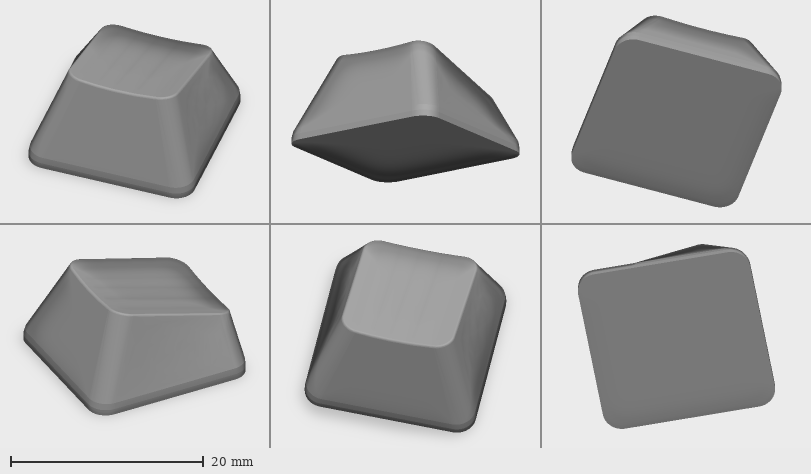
import cadquery as cq
import math

base_size = 18.16
base_corner_radius = 2.02
skirt_height = 0.65

shoulder_top_height = 1.3
shoulder_side_inset = 0.1
shoulder_front_inset = 0.15
shoulder_back_inset = 0.02

top_width = 11.82
top_corner_radius = 1.9
top_front_y = -5.0
top_back_y = 8.66
top_front_height = 10.06
top_back_height = 6.08
top_edge_radius = 0.25

dish_depth = 0.58
dish_radius = 39.95

top_rise = top_front_height - top_back_height
top_run = top_back_y - top_front_y
top_length = math.hypot(top_rise, top_run)
top_tilt = math.degrees(math.atan2(top_rise, top_run))
top_center = (
    0,
    (top_front_y + top_back_y) / 2,
    (top_front_height + top_back_height) / 2,
)
top_plane = cq.Plane(origin=top_center).rotated((-top_tilt, 0, 0))


def rounded_rectangle(plane, width, length, radius):
    """Rectangular wire with round corners, centred on a plane."""
    profile = cq.Sketch().rect(width, length).vertices().fillet(radius)
    return profile.reset().faces().val().outerWire().moved(cq.Location(plane))


def make_skirt():
    outline = cq.Sketch().rect(base_size, base_size).vertices().fillet(base_corner_radius)
    return cq.Workplane("XY").placeSketch(outline).extrude(skirt_height)


def make_tapered_body():
    skirt_plane = cq.Plane(origin=(0, 0, skirt_height))
    skirt_wire = rounded_rectangle(skirt_plane, base_size, base_size, base_corner_radius)

    shoulder_width = base_size - 2 * shoulder_side_inset
    shoulder_length = base_size - shoulder_front_inset - shoulder_back_inset
    shoulder_center_y = (shoulder_front_inset - shoulder_back_inset) / 2
    shoulder_plane = cq.Plane(origin=(0, shoulder_center_y, shoulder_top_height))
    shoulder_wire = rounded_rectangle(
        shoulder_plane, shoulder_width, shoulder_length, base_corner_radius
    )

    upper_wire = rounded_rectangle(top_plane, top_width, top_length, top_corner_radius)
    return cq.Workplane(cq.Solid.makeLoft([skirt_wire, shoulder_wire, upper_wire], True))


def make_dish_cutter():
    return (
        cq.Workplane(cq.Plane(origin=top_center, xDir=(1, 0, 0), normal=top_plane.yDir))
        .center(0, -(dish_radius - dish_depth))
        .circle(dish_radius)
        .extrude(top_length, both=True)
    )


body = make_skirt().union(make_tapered_body())
body = body.cut(make_dish_cutter())

dish_face = body.faces(cq.selectors.NearestToPointSelector(top_center))
result = dish_face.edges().fillet(top_edge_radius)